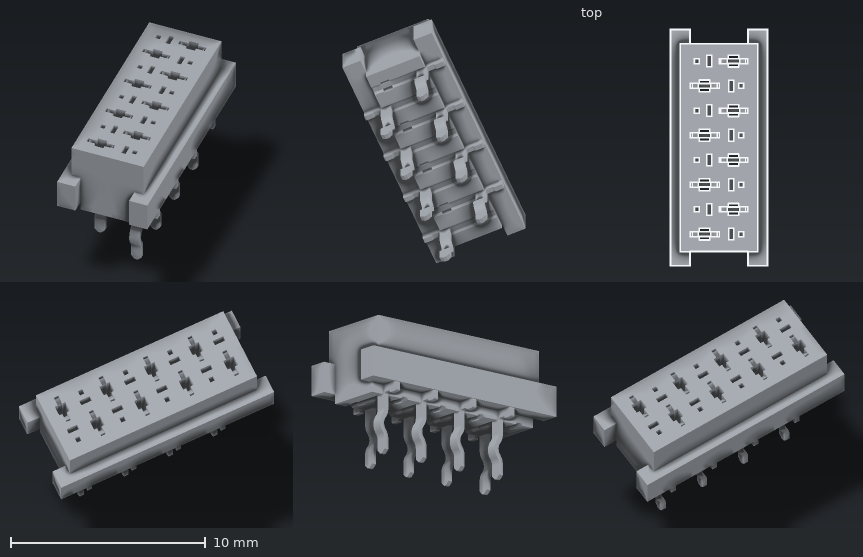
import cadquery as cq
import math

body_width = 4.0
body_length = 10.69
body_height = 4.0

overall_width = 5.0
rail_length = 12.16
rail_width = 1.01
rail_bottom = 0.51
rail_top = 2.13

contact_count = 8
row_span = 8.89
pitch = row_span / (contact_count - 1)
thickness = 0.25
notch_depth = 0.11

pin_x = 1.28
pin_width = 0.56
pin_length = 3.1
pin_tip_chamfer = 0.2
kink_start = 0.73
kink_half_length = 0.8
kink_offset = 0.28

foot_leg_width = 0.49
corner_radius = 0.1

fork_x = 0.74
fork_half_width = 0.74
fork_tip_half_width = 0.65
fork_throat_half_width = 0.33
fork_floor_half_width = 0.07
fork_tip_depth = 0.04
fork_floor_depth = 1.46
fork_flank_depth = 2.01

well_width = 0.52
well_length = 0.6

window_width = 0.25
window_depth = 1.22
window_centers = {-1: -0.51, 1: 0.62}

probe_inner_x = 1.01
probe_outer_x = 1.26
probe_ramp_angle = 75.0


def box(x_min, x_max, length, z_min, z_max):
    """Box centred on Y = 0."""
    return (
        cq.Workplane("XY", origin=((x_min + x_max) / 2, 0, z_min))
        .rect(x_max - x_min, length)
        .extrude(z_max - z_min)
    )


def sheet(outline):
    """Closed XZ outline made into a sheet of contact thickness, centred on Y = 0."""
    return outline.close().extrude(thickness / 2, both=True)


def make_housing():
    inner_half = overall_width / 2 - rail_width
    housing = box(-body_width / 2, body_width / 2, body_length, rail_bottom, body_height)
    housing = housing.union(box(-inner_half, inner_half, body_length, 0, rail_bottom))
    for side in (-1, 1):
        edges = sorted((side * inner_half, side * overall_width / 2))
        housing = housing.union(box(*edges, rail_length, rail_bottom, rail_top))
    return housing


def make_notch():
    """Groove with 45 degree sides, running across the underside."""
    top_half = thickness / 2
    bottom_half = top_half + notch_depth
    return (
        cq.Workplane("YZ")
        .polyline([(-bottom_half, 0), (-top_half, notch_depth), (top_half, notch_depth), (bottom_half, 0)])
        .close()
        .extrude(overall_width / 2, both=True)
    )


def make_fork_slot():
    """Space above the two tines of a fork: 45 degree lead-ins down to a round-bottomed throat."""
    tip_z = body_height - fork_tip_depth
    throat_z = tip_z - (fork_tip_half_width - fork_throat_half_width)
    floor_z = body_height - fork_floor_depth
    flank_z = body_height - fork_flank_depth
    floor_radius = fork_throat_half_width - fork_floor_half_width
    arc_start_z = floor_z + floor_radius
    arc_middle_x = fork_floor_half_width + floor_radius * math.sin(math.pi / 4)
    arc_middle_z = arc_start_z - floor_radius * math.cos(math.pi / 4)
    slot = sheet(
        cq.Workplane("XZ")
        .moveTo(-fork_half_width, body_height)
        .lineTo(-fork_half_width, flank_z)
        .lineTo(-fork_tip_half_width, tip_z)
        .lineTo(-fork_throat_half_width, throat_z)
        .lineTo(-fork_throat_half_width, arc_start_z)
        .threePointArc((-arc_middle_x, arc_middle_z), (-fork_floor_half_width, floor_z))
        .lineTo(fork_floor_half_width, floor_z)
        .threePointArc((arc_middle_x, arc_middle_z), (fork_throat_half_width, arc_start_z))
        .lineTo(fork_throat_half_width, throat_z)
        .lineTo(fork_tip_half_width, tip_z)
        .lineTo(fork_half_width, flank_z)
        .lineTo(fork_half_width, body_height)
    )
    return slot.translate((fork_x, 0, 0))


def make_wells():
    """Two openings through the housing that leave only the fork sheet standing between them."""
    well = box(fork_x - well_width / 2, fork_x + well_width / 2, well_length, 0, body_height)
    return well.cut(box(0, body_width, thickness, 0, body_height))


def make_probe_hole():
    """Small square hole whose floor is a steep ramp, deepest on its inner side."""
    depth = (probe_outer_x - probe_inner_x) * math.tan(math.radians(probe_ramp_angle))
    return sheet(
        cq.Workplane("XZ")
        .moveTo(-probe_outer_x, body_height)
        .lineTo(-probe_inner_x, body_height - depth)
        .lineTo(-probe_inner_x, body_height)
    )


def make_window(side):
    """Blind rectangular pocket between the fork and the probe hole."""
    center = window_centers[side]
    return box(
        center - window_width / 2,
        center + window_width / 2,
        well_length,
        body_height - window_depth,
        body_height,
    )


def make_foot():
    """Hook from the pin out under the rail, with an arch between its leg and the pin."""
    outer_x = -overall_width / 2
    leg_x = outer_x + foot_leg_width
    pin_outer_x = -pin_x - pin_width / 2
    foot = box(outer_x, -pin_x, thickness, 0, rail_bottom)
    foot = foot.edges("<X and |Y").fillet(corner_radius)
    arch = box(leg_x, pin_outer_x, thickness, -notch_depth, notch_depth)
    return foot.cut(arch.edges(">Z and |Y").fillet(corner_radius))


def make_pin():
    """Strip with a kink toward +Y and a chamfered tip."""
    kink_top = -kink_start
    kink_middle = kink_top - kink_half_length
    kink_bottom = kink_middle - kink_half_length
    kink_points = [
        (kink_offset / 2, (kink_top + kink_middle) / 2),
        (kink_offset / 2, (kink_middle + kink_bottom) / 2),
        (0, kink_bottom),
    ]
    path = cq.Workplane("YZ").moveTo(0, notch_depth).lineTo(0, kink_top)
    for point in kink_points:
        path = path.tangentArcPoint(point, relative=False)
    path = path.lineTo(0, -pin_length)
    pin = cq.Workplane("XY", origin=(0, 0, notch_depth)).rect(pin_width, thickness).sweep(path)
    pin = pin.faces("<Z").edges("|Y").chamfer(pin_tip_chamfer)
    return pin.translate((-pin_x, 0, 0))


def make_pin_root():
    """Concave corner where the inner side of the pin meets the ceiling of the notch."""
    inner_x = -pin_x + pin_width / 2
    root_bottom = notch_depth - corner_radius
    middle = corner_radius * (1 - math.sin(math.pi / 4))
    return sheet(
        cq.Workplane("XZ")
        .moveTo(inner_x, notch_depth)
        .lineTo(inner_x, root_bottom)
        .threePointArc((inner_x + middle, notch_depth - middle), (inner_x + corner_radius, notch_depth))
    )


def row_y(index):
    """Y of a contact, counted from the +Y end."""
    return row_span / 2 - index * pitch


def place(shape, index):
    """Turn a shape half round about Z at every other contact and move it to its row."""
    turn = 180 * (index % 2)
    return shape.rotate((0, 0, 0), (0, 0, 1), turn).translate((0, row_y(index), 0))


notch = make_notch()
openings = make_fork_slot().union(make_wells()).union(make_probe_hole())
terminal = make_pin().union(make_foot()).union(make_pin_root())

result = make_housing()
for index in range(contact_count):
    window_side = 1 if index % 2 else -1
    result = result.cut(place(notch, index))
    result = result.cut(place(openings, index))
    result = result.cut(make_window(window_side).translate((0, row_y(index), 0)))
    result = result.union(place(terminal, index))